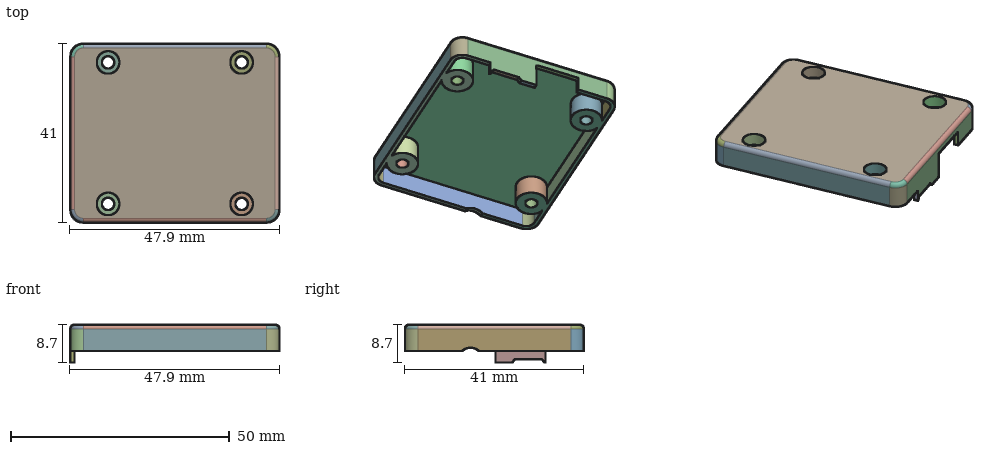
import cadquery as cq

length = 47.9
width = 41.0
total_height = 8.7
cover_height = 6.1
wall = 1.0
corner_radius = 3.0
top_edge_radius = 1.0

hole_spacing_x = 30.55
hole_spacing_y = 32.4
hole_diameter = 2.8
counterbore_diameter = 5.15
counterbore_depth = 2.87
boss_diameter = counterbore_diameter + 2 * wall

tab_drop = total_height - cover_height
tab_y_min = 0.25
tab_y_max = 11.75
recess_depth = 0.75
recess_y_min = 4.05
recess_y_max = 11.5
recess_slope = 0.6

window_width = 10.5
window_height = 3.65
window_corner_radius = 0.3

notch_y = -5.45
notch_radius = 2.87
notch_height = 0.75

cutter_length = 3 * wall


def make_shell():
    outer = (
        cq.Workplane("XY")
        .rect(length, width)
        .extrude(cover_height)
        .edges("|Z")
        .fillet(corner_radius)
        .faces(">Z")
        .edges()
        .fillet(top_edge_radius)
    )
    cavity = (
        cq.Workplane("XY")
        .rect(length - 2 * wall, width - 2 * wall)
        .extrude(cover_height - wall)
        .edges("|Z")
        .fillet(corner_radius - wall)
    )
    return outer.cut(cavity)


def add_screw_bosses(body):
    bosses = (
        cq.Workplane("XY")
        .rect(hole_spacing_x, hole_spacing_y, forConstruction=True)
        .vertices()
        .circle(boss_diameter / 2)
        .extrude(cover_height - wall)
    )
    return (
        body.union(bosses)
        .faces(">Z")
        .workplane(origin=(0, 0, cover_height))
        .rect(hole_spacing_x, hole_spacing_y, forConstruction=True)
        .vertices()
        .cboreHole(hole_diameter, counterbore_diameter, counterbore_depth)
    )


def make_tab():
    tab_top = cover_height - wall
    recess_top = recess_depth - tab_drop
    return (
        cq.Workplane("YZ", origin=(-length / 2, 0, 0))
        .moveTo(tab_y_min, tab_top)
        .lineTo(tab_y_min, -tab_drop)
        .lineTo(recess_y_min, -tab_drop)
        .lineTo(recess_y_min + recess_slope, recess_top)
        .lineTo(recess_y_max - recess_slope, recess_top)
        .lineTo(recess_y_max, -tab_drop)
        .lineTo(tab_y_max, -tab_drop)
        .lineTo(tab_y_max, tab_top)
        .close()
        .extrude(wall)
    )


def make_window_cutter():
    return (
        cq.Workplane("XY")
        .box(cutter_length, window_width, window_height, centered=(True, True, False))
        .edges("|X and >Z")
        .fillet(window_corner_radius)
        .translate((-length / 2, tab_y_min - window_width / 2, 0))
    )


def make_notch_cutter():
    return (
        cq.Workplane("YZ", origin=(length / 2 - cutter_length / 2, 0, 0))
        .center(notch_y, notch_height - notch_radius)
        .circle(notch_radius)
        .extrude(cutter_length)
    )


cover = add_screw_bosses(make_shell())
result = cover.union(make_tab()).cut(make_window_cutter()).cut(make_notch_cutter())